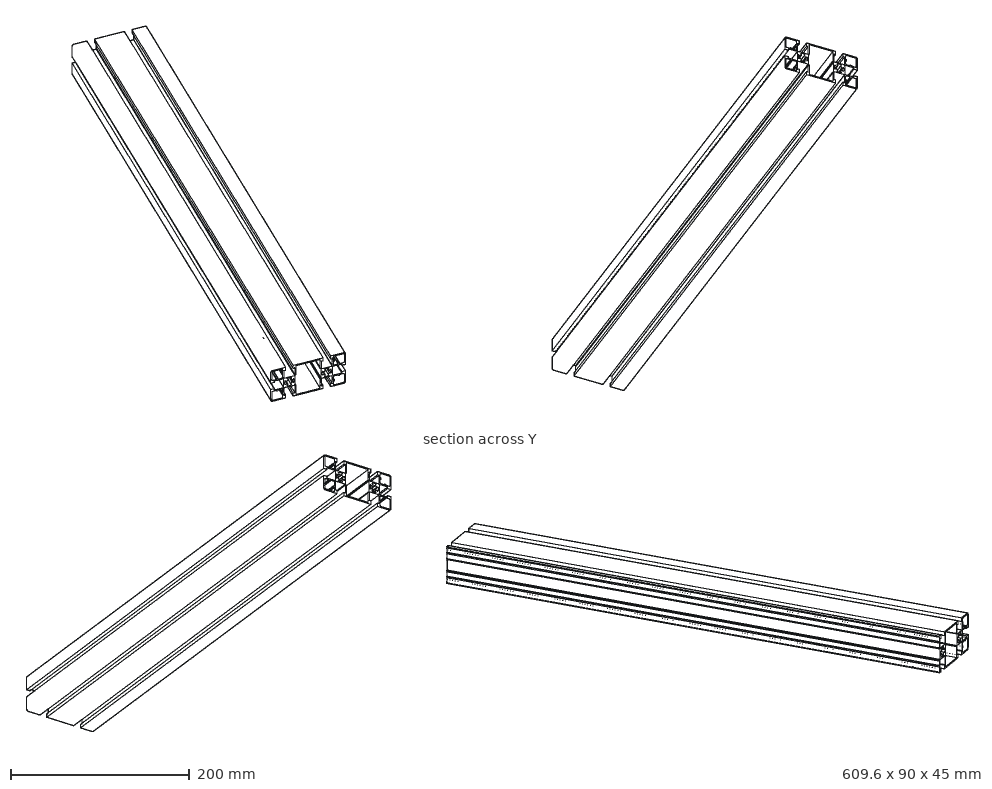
import cadquery as cq
import math

length = 609.6
width = 90.0
height = 45.0
corner_radius = 2.5

core_offset = height / 2

outer_wall = 1.5
slot_wall = 1.5

slot_opening = 9.0
slot_inner_width = 13.0
lip_depth = 4.5
slot_depth = 15.5

box_inner = slot_inner_width / 2 + slot_wall
box_outer = height / 2 - outer_wall
box_size = box_outer - box_inner
box_centre = (box_outer + box_inner) / 2
rib_height = 1.0
rib_width = 2.0
box_corner_radius = 1.0

core_size = height - 2 * slot_depth
cavity_width = 2 * (core_offset - slot_inner_width / 2 - slot_wall)
cavity_height = height - 2 * outer_wall
cavity_wide_width = 2 * (core_offset - core_size / 2)
cavity_wide_height = 15.6

bore_radius = 3.6
arm_radius = 5.8
arm_half_angle = math.radians(26)


def bar(size_y, size_z, centre_y=0.0, centre_z=0.0):
    """Full-length rectangular bar along X, centred at the given Y and Z."""
    return cq.Workplane("XY").box(length, size_y, size_z).translate((0, centre_y, centre_z))


def turned(body, angle):
    """The body turned about the X axis."""
    return body.rotate((0, 0, 0), (1, 0, 0), angle)


def t_slot():
    """T-slot cutter opening at the top face, above the core."""
    inner_height = slot_depth - lip_depth
    opening = bar(slot_opening, slot_depth, 0, (height - slot_depth) / 2)
    inner = bar(slot_inner_width, inner_height, 0, height / 2 - lip_depth - inner_height / 2)
    return opening.union(inner)


def corner_box():
    """Corner box cutter in the +Y +Z corner, with its two ribs left standing."""
    rib_centre = box_inner + rib_height / 2
    upright_rib = bar(rib_height, rib_width, rib_centre, box_centre)
    level_rib = bar(rib_width, rib_height, box_centre, rib_centre)
    box = bar(box_size, box_size, box_centre, box_centre).edges("|X").fillet(box_corner_radius)
    return box.cut(upright_rib).cut(level_rib)


def core_arm():
    """Sector-shaped cutter pointing up from the core's centre."""
    half_width = arm_radius * math.sin(arm_half_angle)
    shoulder = arm_radius * math.cos(arm_half_angle)
    return (
        cq.Workplane("YZ")
        .lineTo(half_width, shoulder)
        .threePointArc((0, arm_radius), (-half_width, shoulder))
        .close()
        .extrude(length / 2, both=True)
    )


def end_module_cutters():
    """Everything cut around the core on the +Y side, with that core at the origin."""
    quarter_turns = (0, 90, 180, 270)
    slot_turns = (0, 180, 270)
    box_turns = (0, 270)
    cutters = cq.Workplane("YZ").circle(bore_radius).extrude(length / 2, both=True)
    for angle in quarter_turns:
        cutters = cutters.union(turned(core_arm(), angle))
    for angle in slot_turns:
        cutters = cutters.union(turned(t_slot(), angle))
    for angle in box_turns:
        cutters = cutters.union(turned(corner_box(), angle))
    return cutters


def main_cavity():
    """Central cavity cutter."""
    return bar(cavity_width, cavity_height).union(bar(cavity_wide_width, cavity_wide_height))


result = bar(width, height).edges("|X").fillet(corner_radius)
result = result.cut(main_cavity())
end_cutters = end_module_cutters().translate((0, core_offset, 0))
for angle in (0, 180):
    result = result.cut(turned(end_cutters, angle))